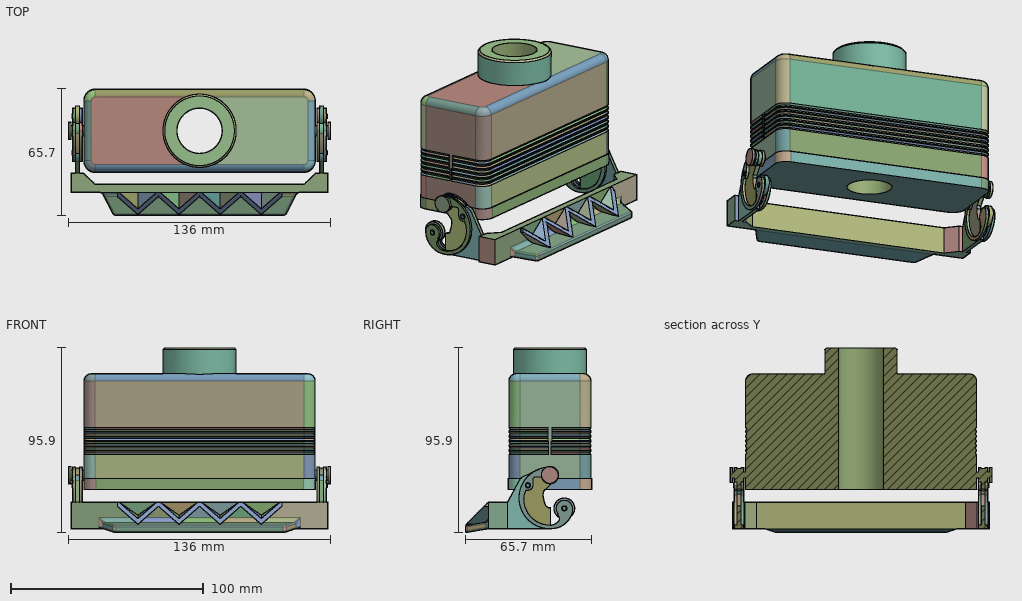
import cadquery as cq
import math


rim_length = 120.2
rim_width = 43.5
rim_height = 5.8
rim_corner = 6.3
rim_ledge_x = 0.07
rim_ledge_y = 0.4
hood_height = 60.1
hood_edge_radius = 3.8
neck_radius = 19
neck_top = 73.6
neck_chamfer = 1.0
bore_radius = 11.7

groove_count = 6
groove_bottom = 18.1
groove_pitch = 2.5
groove_height = 1.9
groove_depth = 0.7
upper_gap_width = 2.0
lower_gap_width = 1.2

bar_length = 133.3
bar_top = -6.5
bar_bottom = -20.4
bar_front = -32.0
bar_back = -22.0
bar_thin_back = -27.7
bar_thin_half_length = 54.3
bar_step_half_length = 60.2

lip_tip = -43.9
lip_root_half_length = 50.7
lip_tip_half_length = 44.6
lip_thickness = 3.7
lip_drop = 2.0
lip_corner = 2.0
lip_edge = 0.8
lip_root_fillet = 2.6

rib_count = 4
rib_pitch = 21.4
rib_depth = 11.5
rib_side_height = 2.2
pocket_half_width = 9.8
pocket_depth_front = 8.5
pocket_depth_back = 6.8

latch_centre = 63.4
cheek_stack = 5.0
plate_thickness = 2.2
pin_z = 7.5
pin_radius = 2.7
pin_embed = 1.4
hub_radius = 4.2
plate_hub_radius = 3.8
pin_head_radius = 4.5
pin_head_thickness = 1.4
latch_outer = 68
hook_outer_radius = 16.0
hook_outer_z = -4.4
hook_inner_radius = 13.6
hook_inner_z = -4.9
roller_y = 7.5
roller_z = -9.8
roller_radius = 5.5
roller_cheek_radius = 4.2
rivet_y = -11.4
rivet_z = 2.2
rivet_pad_radius = 2.6
rivet_radius = 1.4
rivet_height = 0.4
rivet_chamfer = 0.34

body_length = rim_length - 2 * rim_ledge_x
body_width = rim_width - 2 * rim_ledge_y
body_corner = rim_corner - rim_ledge_y

plate_inside = latch_centre - plate_thickness / 2
plate_outside = latch_centre + plate_thickness / 2
cheek_inside = latch_centre - cheek_stack / 2
cheek_outside = latch_centre + cheek_stack / 2


def make_hood():
    body = (
        cq.Workplane("XY").rect(body_length, body_width).extrude(hood_height)
        .edges("|Z").fillet(body_corner)
        .faces(">Z").edges().fillet(hood_edge_radius)
    )
    rim = (
        cq.Workplane("XY").rect(rim_length, rim_width).extrude(rim_height)
        .edges("|Z").fillet(rim_corner)
    )
    neck = (
        cq.Workplane("XY").circle(neck_radius).extrude(neck_top)
        .faces(">Z").edges().chamfer(neck_chamfer)
    )
    bore = cq.Workplane("XY").circle(bore_radius).extrude(neck_top)
    return body.union(rim).cut(make_grooves()).union(neck).cut(bore)


def make_grooves():
    """V grooves around the hood, interrupted at the middle of both ends."""
    half_height = groove_height / 2
    flank_angle = math.degrees(math.atan2(groove_depth, half_height))
    land_outline = (
        cq.Sketch().rect(body_length - 2 * groove_depth, body_width - 2 * groove_depth)
        .vertices().fillet(body_corner - groove_depth)
    )
    upper_flank = cq.Workplane("XY").placeSketch(land_outline).extrude(half_height, taper=-flank_angle)
    core = upper_flank.union(upper_flank.mirror("XY"))
    groove = cq.Workplane("XY").box(rim_length, rim_width, groove_height).cut(core)
    grooves = cq.Workplane("XY")
    for i in range(groove_count):
        height = groove_bottom + half_height + i * groove_pitch
        gap_width = lower_gap_width if i < groove_count / 2 else upper_gap_width
        gap = cq.Workplane("XY").box(rim_length, gap_width, groove_height)
        grooves = grooves.add(groove.cut(gap).translate((0, 0, height)))
    return grooves.combine()


def make_bar():
    half_length = bar_length / 2
    return (
        cq.Workplane("XY").workplane(offset=bar_bottom)
        .polyline([
            (-half_length, bar_front),
            (half_length, bar_front),
            (half_length, bar_back),
            (bar_step_half_length, bar_back),
            (bar_thin_half_length, bar_thin_back),
            (-bar_thin_half_length, bar_thin_back),
            (-bar_step_half_length, bar_back),
            (-half_length, bar_back),
        ]).close().extrude(bar_top - bar_bottom)
    )


def make_lip():
    """Sloping trapezoidal lip that flares into the front face of the bar."""
    lip_top = bar_bottom + lip_thickness
    lip_floor = bar_bottom - lip_drop
    root_wall = cq.Workplane("XY").box(
        bar_length, bar_thin_back - bar_front, bar_top - lip_floor, centered=(True, False, False)
    ).translate((0, bar_front, lip_floor))
    plan = (
        cq.Workplane("XY").workplane(offset=lip_floor)
        .polyline([
            (-lip_root_half_length, bar_front),
            (-lip_tip_half_length, lip_tip),
            (lip_tip_half_length, lip_tip),
            (lip_root_half_length, bar_front),
        ]).close().extrude(lip_top - lip_floor)
        .edges("|Z and <Y").fillet(lip_corner)
    )
    above_slope = (
        cq.Workplane("YZ")
        .polyline([
            (bar_front, lip_top),
            (lip_tip, lip_top - lip_drop),
            (lip_tip, lip_top),
        ]).close().extrude(lip_root_half_length, both=True)
    )
    below_slope = (
        cq.Workplane("YZ")
        .polyline([
            (bar_thin_back, bar_bottom),
            (bar_front, bar_bottom),
            (lip_tip, lip_floor),
            (lip_tip, lip_floor - lip_thickness),
            (bar_thin_back, lip_floor - lip_thickness),
        ]).close().extrude(bar_length / 2, both=True)
    )
    root = cq.selectors.BoxSelector(
        (-bar_length / 2, bar_front - lip_corner, lip_floor + lip_thickness / 4),
        (bar_length / 2, bar_front + lip_corner, lip_top + lip_thickness / 4),
    )
    lip = root_wall.union(plan.cut(above_slope)).edges(root).fillet(lip_root_fillet)
    lip = lip.cut(below_slope)
    return lip.faces("<Y").edges(">Z or <Z").fillet(lip_edge)


def make_tetrahedron(a, b, c, d):
    corners = [cq.Vector(*p) for p in (a, b, c, d)]
    faces = []
    for skipped in range(4):
        triangle = [p for i, p in enumerate(corners) if i != skipped]
        faces.append(cq.Face.makeFromWires(cq.Wire.makePolygon(triangle, close=True)))
    return cq.Workplane(obj=cq.Solid.makeSolid(cq.Shell.makeShell(faces)))


def make_ribs():
    """Row of V-shaped troughs cut off by a 45 degree plane from the bar's top edge."""
    half_row = rib_pitch * rib_count / 2
    outline = [(half_row, bar_top), (-half_row, bar_top)]
    for i in range(rib_count):
        left = -half_row + i * rib_pitch
        outline.append((left, bar_top - rib_side_height))
        outline.append((left + rib_pitch / 2, bar_top - rib_depth))
    outline.append((half_row, bar_top - rib_side_height))
    zigzag = (
        cq.Workplane("XZ", origin=(0, bar_front, 0)).polyline(outline).close().extrude(rib_depth)
    )
    wedge = (
        cq.Workplane("YZ")
        .polyline([
            (bar_front, bar_top),
            (bar_front, bar_top - rib_depth),
            (bar_front - rib_depth, bar_top - rib_depth),
        ]).close().extrude(bar_length / 2, both=True)
    )
    ribs = zigzag.intersect(wedge)
    for i in range(rib_count):
        x = -half_row + (i + 0.5) * rib_pitch
        ribs = ribs.cut(make_tetrahedron(
            (x - pocket_half_width, bar_front, bar_top),
            (x + pocket_half_width, bar_front, bar_top),
            (x, bar_front, bar_top - pocket_depth_back),
            (x, bar_front - pocket_depth_front, bar_top - pocket_depth_front),
        ))
    return ribs


def make_handle():
    return make_bar().union(make_lip()).union(make_ribs())


def disc(y, z, radius, x_start, x_end):
    return cq.Workplane("YZ", origin=(x_start, y, z)).circle(radius).extrude(x_end - x_start)


def hook_point(radius, centre_z, angle):
    """Point (Y, Z) on a hook circle centred at Y = 0; 0 degrees is -Y, 90 degrees is -Z."""
    a = math.radians(angle)
    return (-radius * math.cos(a), centre_z - radius * math.sin(a))


def outer_point(angle):
    return hook_point(hook_outer_radius, hook_outer_z, angle)


def inner_point(angle):
    return hook_point(hook_inner_radius, hook_inner_z, angle)


def make_cheek(x_start, x_end):
    """Hooked cheek running from the pivot pin round to the roller."""
    hook = (
        cq.Workplane("YZ", origin=(x_start, 0, 0))
        .moveTo(*outer_point(-90))
        .threePointArc(outer_point(0), outer_point(105))
        .threePointArc((8.8, -16.9), (11.5, -12.2))
        .lineTo(roller_y + roller_cheek_radius, roller_z)
        .lineTo(roller_y, roller_z)
        .lineTo(3.7, -13.2)
        .threePointArc((4.9, -14.8), (3.8, -17.0))
        .threePointArc((1.8, -18.2), inner_point(90))
        .threePointArc(inner_point(40), inner_point(-8))
        .lineTo(-12.5, -0.5)
        .lineTo(rivet_y, rivet_z)
        .lineTo(rivet_y + rivet_pad_radius, rivet_z)
        .lineTo(-8.8, 4.9)
        .threePointArc((-8.5, 6.1), (-7.1, 6.5))
        .lineTo(0, 6.5)
        .close().extrude(x_end - x_start)
    )
    return (
        hook
        .union(disc(0, pin_z, hub_radius, x_start, x_end))
        .union(disc(rivet_y, rivet_z, rivet_pad_radius, x_start, x_end))
        .union(disc(roller_y, roller_z, roller_cheek_radius, x_start, x_end))
    )


def make_plate():
    plate = (
        cq.Workplane("YZ", origin=(plate_inside, 0, 0))
        .moveTo(bar_back, bar_bottom)
        .lineTo(bar_back, bar_top)
        .lineTo(-15.9, 4.8)
        .threePointArc((-14.3, 6.5), (-11.7, 7.5))
        .threePointArc((-7.2, 9.8), (-1.4, 11.0))
        .lineTo(0, pin_z)
        .lineTo(0.8, 3.1)
        .lineTo(-3.1, -0.8)
        .lineTo(-3.5, -2.5)
        .threePointArc((-3.0, -6.0), (-2.2, -8.3))
        .threePointArc((-1.4, -9.1), (0.4, -9.4))
        .lineTo(0.4, bar_bottom)
        .close().extrude(plate_thickness)
    )
    return plate.union(disc(0, pin_z, plate_hub_radius, plate_inside, plate_outside))


def make_latch():
    """Latch arm on the +X side, pinned to the end of the hood."""
    latch = make_plate()
    latch = latch.union(make_cheek(cheek_inside, plate_inside))
    latch = latch.union(make_cheek(plate_outside, cheek_outside))
    latch = latch.union(disc(roller_y, roller_z, roller_radius, plate_inside, plate_outside))
    latch = latch.union(disc(0, pin_z, pin_radius, body_length / 2 - pin_embed, latch_outer))
    latch = latch.union(disc(0, pin_z, pin_head_radius, latch_outer - pin_head_thickness, latch_outer))
    for y, z in ((rivet_y, rivet_z), (roller_y, roller_z)):
        head = disc(y, z, rivet_radius, cheek_outside, cheek_outside + rivet_height)
        latch = latch.union(head.faces(">X").edges().chamfer(rivet_chamfer))
    return latch


latch = make_latch()
result = make_hood().union(make_handle()).union(latch).union(latch.mirror("YZ"))